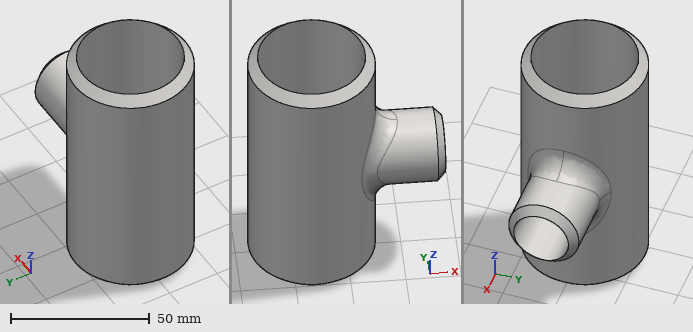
import cadquery as cq

run_length = 95.2
run_diameter = 46.2
run_wall = 3.6

branch_reach = 47.7
branch_diameter = 26.8
branch_wall = 2.95

blend_radius = 8.0

run_bore = run_diameter - 2 * run_wall
branch_bore = branch_diameter - 2 * branch_wall


def run_cylinder(diameter):
    return cq.Workplane("XY").circle(diameter / 2).extrude(run_length / 2, both=True)


def branch_cylinder(diameter):
    return cq.Workplane("YZ").circle(diameter / 2).extrude(branch_reach)


def is_branch_joint(edge):
    """True for the curved seam between the run and the branch."""
    box = edge.BoundingBox()
    below_run_top = box.zmax < run_length / 2
    return edge.geomType() not in ("LINE", "CIRCLE") and below_run_top


tee = run_cylinder(run_diameter).union(branch_cylinder(branch_diameter))
joint_edges = [edge for edge in tee.edges().vals() if is_branch_joint(edge)]
tee = tee.newObject(joint_edges).fillet(blend_radius)

tee = tee.faces("<Z or >Z").edges().chamfer(run_wall)
tee = tee.faces(">X").edges().chamfer(branch_wall)

result = tee.cut(run_cylinder(run_bore)).cut(branch_cylinder(branch_bore))